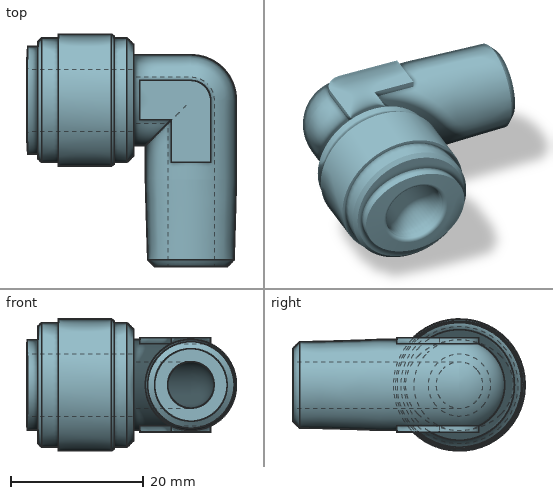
import cadquery as cq

ARM_RADIUS = 6.9
BORE_RADIUS = 3.52

BODY_RADIUS = 10.0
SHOULDER_RADIUS = 9.45
SOCKET_LENGTH = 24.9
BODY_FRONT = 23.15
BAND_FRONT = 20.05
BAND_BACK = 11.6
BODY_BACK = 8.62
FRONT_CHAMFER = 0.55
BAND_CHAMFER_LENGTH = 0.42
BAND_CHAMFER_DEPTH = 0.3
BACK_CHAMFER = 1.05

COLLAR_WIDTH = 16.35
COLLAR_HEIGHT = 13.73
COLLAR_FACE_DROP = 0.18
SOCKET_RADIUS = 4.7
SOCKET_FLOOR = BODY_BACK
MOUTH_ROUND = 0.53

SPIGOT_LENGTH = 35.2 - BODY_RADIUS
TAPER_START = 12.0
TIP_RADIUS = 6.55
TIP_CHAMFER = 1.05

PAD_HALF_WIDTH = 3.0
PAD_HALF_HEIGHT = 7.15
PAD_SOCKET_REACH = 7.75
PAD_SPIGOT_REACH = 9.45


def revolve_about_x(profile):
    return profile.close().revolve(360, (0, 0, 0), (1, 0, 0))


def revolve_about_y(profile):
    return profile.close().revolve(360, (0, 0, 0), (0, 1, 0))


def elbow():
    """Two mitred round arms with a spherical outer corner."""
    socket_arm = cq.Workplane("YZ").circle(ARM_RADIUS).extrude(-BODY_FRONT)
    spigot_profile = (
        cq.Workplane("XY")
        .lineTo(ARM_RADIUS, 0)
        .lineTo(ARM_RADIUS, -TAPER_START)
        .lineTo(TIP_RADIUS, TIP_CHAMFER - SPIGOT_LENGTH)
        .lineTo(TIP_RADIUS - TIP_CHAMFER, -SPIGOT_LENGTH)
        .lineTo(0, -SPIGOT_LENGTH)
    )
    corner = cq.Workplane("XY").sphere(ARM_RADIUS)
    return socket_arm.union(revolve_about_y(spigot_profile)).union(corner)


def socket_body():
    """Stepped round body with a raised band and chamfered ends."""
    return revolve_about_x(
        cq.Workplane("XY")
        .moveTo(-BODY_FRONT, 0)
        .lineTo(-BODY_FRONT, SHOULDER_RADIUS - FRONT_CHAMFER)
        .lineTo(FRONT_CHAMFER - BODY_FRONT, SHOULDER_RADIUS)
        .lineTo(-BAND_FRONT, SHOULDER_RADIUS)
        .lineTo(-BAND_FRONT, BODY_RADIUS)
        .lineTo(-BAND_BACK - BAND_CHAMFER_LENGTH, BODY_RADIUS)
        .lineTo(-BAND_BACK, BODY_RADIUS - BAND_CHAMFER_DEPTH)
        .lineTo(-BAND_BACK, SHOULDER_RADIUS)
        .lineTo(-BODY_BACK - BACK_CHAMFER, SHOULDER_RADIUS)
        .lineTo(-BODY_BACK, SHOULDER_RADIUS - BACK_CHAMFER)
        .lineTo(-BODY_BACK, 0)
    )


def collar():
    """Elliptical collar trimmed by a shallow cone."""
    oval = (
        cq.Workplane("YZ")
        .workplane(offset=-SOCKET_LENGTH)
        .ellipse(COLLAR_WIDTH / 2, COLLAR_HEIGHT / 2)
        .extrude(SOCKET_LENGTH - BODY_FRONT)
    )
    cone_envelope = revolve_about_x(
        cq.Workplane("XY")
        .moveTo(-SOCKET_LENGTH, 0)
        .lineTo(-SOCKET_LENGTH, SOCKET_RADIUS + MOUTH_ROUND)
        .lineTo(COLLAR_FACE_DROP - SOCKET_LENGTH, COLLAR_WIDTH / 2)
        .lineTo(-BODY_FRONT, COLLAR_WIDTH / 2)
        .lineTo(-BODY_FRONT, 0)
    )
    return oval.intersect(cone_envelope)


def elbow_pads():
    """L-shaped flats standing proud of both faces of the elbow."""
    return (
        cq.Workplane("XY")
        .workplane(offset=-PAD_HALF_HEIGHT)
        .moveTo(-PAD_SOCKET_REACH, PAD_HALF_WIDTH)
        .lineTo(0, PAD_HALF_WIDTH)
        .radiusArc((PAD_HALF_WIDTH, 0), PAD_HALF_WIDTH)
        .lineTo(PAD_HALF_WIDTH, -PAD_SPIGOT_REACH)
        .lineTo(-PAD_HALF_WIDTH, -PAD_SPIGOT_REACH)
        .lineTo(-PAD_HALF_WIDTH, -PAD_HALF_WIDTH)
        .lineTo(-PAD_SOCKET_REACH, -PAD_HALF_WIDTH)
        .close()
        .extrude(2 * PAD_HALF_HEIGHT)
    )


def passage():
    """Right-angle bore with a spherical corner, opening into the tube socket."""
    socket_bore = cq.Workplane("YZ").circle(BORE_RADIUS).extrude(-SOCKET_LENGTH)
    spigot_bore = cq.Workplane("XZ").circle(BORE_RADIUS).extrude(SPIGOT_LENGTH)
    corner = cq.Workplane("XY").sphere(BORE_RADIUS)
    tube_socket = revolve_about_x(
        cq.Workplane("XY")
        .moveTo(-SOCKET_LENGTH, 0)
        .lineTo(-SOCKET_LENGTH, SOCKET_RADIUS + MOUTH_ROUND)
        .radiusArc((MOUTH_ROUND - SOCKET_LENGTH, SOCKET_RADIUS), -MOUTH_ROUND)
        .lineTo(-SOCKET_FLOOR, SOCKET_RADIUS)
        .lineTo(-SOCKET_FLOOR, 0)
    )
    return socket_bore.union(spigot_bore).union(corner).union(tube_socket)


result = elbow().union(elbow_pads()).union(socket_body()).union(collar()).cut(passage())